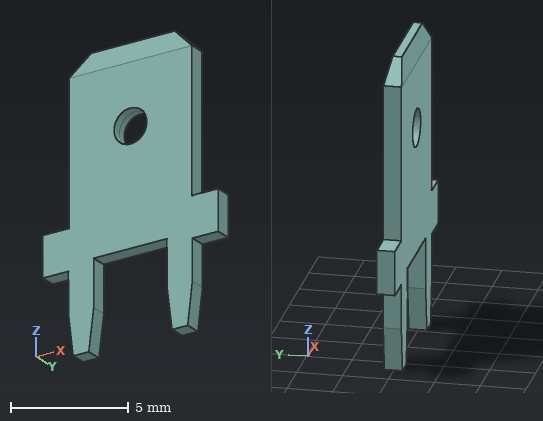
import cadquery as cq

height = 14.0
thickness = 0.8
shoulder_width = 9.0

blade_width = 6.3
blade_tip_width = 4.28
blade_tip_thickness = 0.4
blade_tip_length = 1.0
hole_diameter = 1.67
hole_height = 10.01

shoulder_bottom = 4.0
shoulder_top = 6.0
notch_top = 4.3

leg_outer_span = 6.35
leg_inner_span = 3.75
leg_tip_outer_span = 5.88
leg_tip_inner_span = 4.25
taper_height = 2.0

taper_start = height - blade_tip_length


def make_plate():
    """Flat plate outline, symmetric about X = 0, with its legs standing on Z = 0."""
    right_half = [
        (leg_inner_span / 2, notch_top),
        (leg_inner_span / 2, taper_height),
        (leg_tip_inner_span / 2, 0),
        (leg_tip_outer_span / 2, 0),
        (leg_outer_span / 2, taper_height),
        (leg_outer_span / 2, shoulder_bottom),
        (shoulder_width / 2, shoulder_bottom),
        (shoulder_width / 2, shoulder_top),
        (blade_width / 2, shoulder_top),
        (blade_width / 2, taper_start),
        (blade_tip_width / 2, height),
    ]
    left_half = [(-x, z) for x, z in reversed(right_half)]
    outline = cq.Workplane("XZ").polyline(right_half + left_half).close()
    return outline.extrude(thickness / 2, both=True)


def make_side_envelope():
    """Side profile whose top tapers on both faces to the thin blade tip."""
    profile = [
        (-thickness / 2, 0),
        (thickness / 2, 0),
        (thickness / 2, taper_start),
        (blade_tip_thickness / 2, height),
        (-blade_tip_thickness / 2, height),
        (-thickness / 2, taper_start),
    ]
    outline = cq.Workplane("YZ").polyline(profile).close()
    return outline.extrude(shoulder_width / 2, both=True)


def make_hole():
    """Round cutter through the blade."""
    circle = cq.Workplane("XZ").center(0, hole_height).circle(hole_diameter / 2)
    return circle.extrude(thickness, both=True)


result = make_plate().intersect(make_side_envelope()).cut(make_hole())